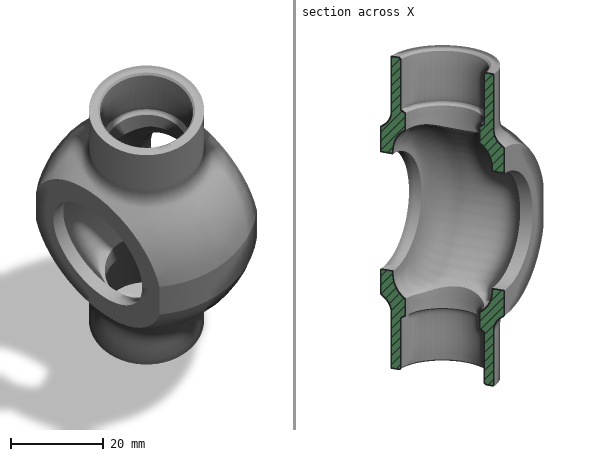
import cadquery as cq
import math

overall_height = 72.0
sphere_radius = 24.5
waist_diameter = 48.0
body_thickness = 30.0
neck_diameter = 25.0
neck_fillet = 4.0
passage_diameter = 18.0
socket_diameter = 20.15
socket_depth = 12.0
socket_chamfer = 0.4
socket_floor_angle = 30.0
cross_bore_diameter = 27.0
chamber_diameter = 40.5
chamber_fillet = 6.0
rim_width = 3.0

half_height = overall_height / 2
neck_radius = neck_diameter / 2
waist_radius = waist_diameter / 2
waist_half_height = math.sqrt(sphere_radius**2 - waist_radius**2)

fillet_center_x = neck_radius + neck_fillet
fillet_center_z = math.sqrt((sphere_radius + neck_fillet) ** 2 - fillet_center_x**2)
sphere_share = sphere_radius / (sphere_radius + neck_fillet)
fillet_end_x = fillet_center_x * sphere_share
fillet_end_z = fillet_center_z * sphere_share


def upper_half_body():
    """Revolve the upper half: waist band, spherical shoulder, fillet and neck."""
    profile = (
        cq.Workplane("XZ")
        .lineTo(waist_radius, 0)
        .lineTo(waist_radius, waist_half_height)
        .radiusArc((fillet_end_x, fillet_end_z), -sphere_radius)
        .radiusArc((neck_radius, fillet_center_z), neck_fillet)
        .lineTo(neck_radius, half_height)
        .lineTo(0, half_height)
        .close()
    )
    return profile.revolve(360, (0, 0, 0), (0, 1, 0))


def upper_socket():
    """Stepped cutter for the chamfered socket with a sloping floor at the neck mouth."""
    socket_radius = socket_diameter / 2
    passage_radius = passage_diameter / 2
    floor_z = half_height - socket_depth
    floor_drop = (socket_radius - passage_radius) * math.tan(math.radians(socket_floor_angle))
    mouth_radius = socket_radius + socket_chamfer
    profile = (
        cq.Workplane("XZ")
        .moveTo(0, half_height)
        .lineTo(mouth_radius, half_height)
        .lineTo(socket_radius, half_height - socket_chamfer)
        .lineTo(socket_radius, floor_z)
        .lineTo(passage_radius, floor_z - floor_drop)
        .lineTo(0, floor_z - floor_drop)
        .close()
    )
    return profile.revolve(360, (0, 0, 0), (0, 1, 0))


def cylinder_along_y(diameter, length):
    """Cylinder on the Y axis, centred on the origin."""
    return cq.Workplane("XZ").circle(diameter / 2).extrude(length / 2, both=True)


def with_mirror(half):
    """Join an upper half with its reflection below the XY plane."""
    return half.union(half.mirror("XY"))


faces_box = cq.Workplane("XY").box(waist_diameter, body_thickness, overall_height)
body = with_mirror(upper_half_body()).intersect(faces_box)

passage = cq.Workplane("XY").circle(passage_diameter / 2).extrude(half_height, both=True)
body = body.cut(passage).cut(upper_socket()).cut(upper_socket().mirror("XY"))

cross_bore = cylinder_along_y(cross_bore_diameter, body_thickness)
chamber = cylinder_along_y(chamber_diameter, body_thickness - 2 * rim_width)
chamber = chamber.edges().fillet(chamber_fillet)
result = body.cut(cross_bore).cut(chamber)